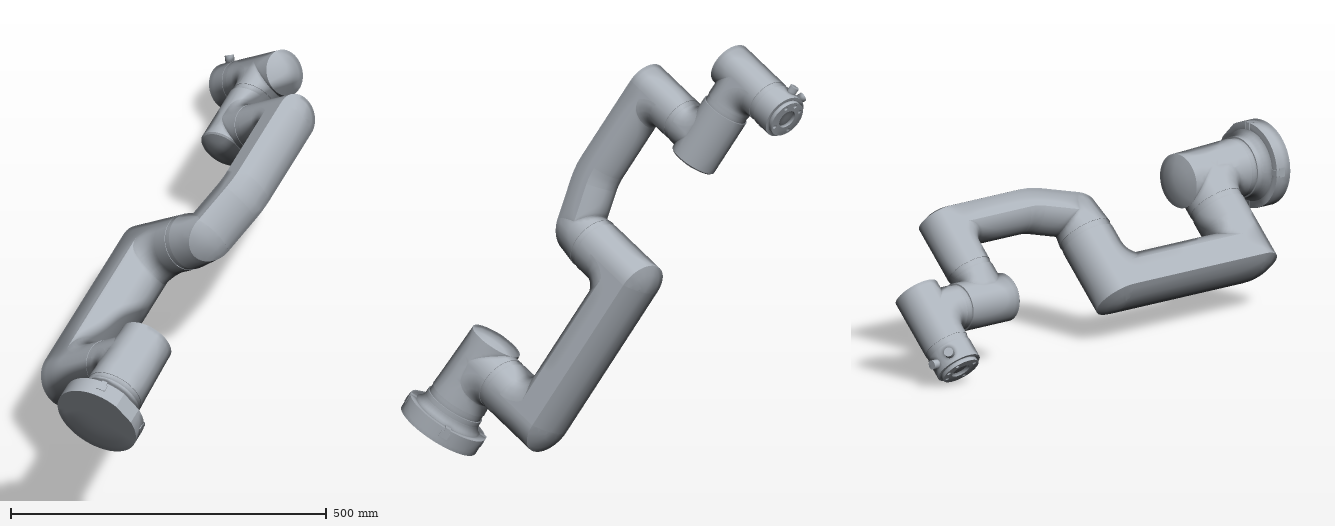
import cadquery as cq
import math

ARM_TURN = 135

SHOULDER_HEIGHT = 130.0
UPPER_ARM_LENGTH = 275.5
FOREARM_LENGTH = 254.0
WRIST_LENGTH = 122.0
WRIST_REACH = 129.0
ELBOW_HEIGHT = SHOULDER_HEIGHT + UPPER_ARM_LENGTH
WRIST_HEIGHT = ELBOW_HEIGHT + FOREARM_LENGTH
TOOL_HEIGHT = WRIST_HEIGHT + WRIST_LENGTH
TOTAL_HEIGHT = 830

ARM_RADIUS = 45.0
WRIST_RADIUS = 37.0
NECK_INSET = 1.0
NECK_LENGTH = 11.0
DOME_RATIO = 0.18
OUTER_CROWN_ANGLE = 30
INNER_CROWN_ANGLE = 60

FLANGE_RADIUS = 70.0
FLANGE_HEIGHT = 28.0
FLANGE_FLAT = 67.0
FLARE_FOOT_RADIUS = 58.0
FLARE_TOP_RADIUS = 50.0
FLARE_TOP = 42.0
FLARE_MIDDLE = (52.0, 34.0)
BASE_TOP = 51.0
LUG_COUNT = 4
LUG_START_ANGLE = 45
LUG_WIDTH = 15.0
LUG_NECK_WIDTH = 9.0
LUG_BOTTOM = 12.5
LUG_SHOULDER = 22.0
LUG_TOP = 30.0
LUG_RISE = 1.0

SHOULDER_FOOT_RADIUS = 48.0
SHOULDER_TOP_RADIUS = 44.0
SHOULDER_BLEND = 6.0
SHOULDER_REACH = 54.0

UPPER_ARM_INNER = 135.0
UPPER_ARM_OUTER = 178.5
UPPER_ARM_BLEND = 17.0

FOREARM_OUTER = -31.0
FOREARM_INNER = 2.5
FOREARM_REACH = 69.0
FOREARM_BLEND = 12.0
BEND_ANGLE = 18
BEND_START = 511.0
BEND_RADIUS = 124.5

WRIST_BODY_RADIUS = 39.0
WRIST_BODY_TOP = 721.0
WRIST_BOTTOM = 622.0
WRIST_BLEND = 8.0
CAP_CHAMFER = 2.5

TOOL_BACK = 87.0
TOOL_JOINT = 188.0
TOOL_SHOULDER = 231.5
TOOL_FACE = 238.0
TOOL_DISC_RADIUS = 31.5
TOOL_BORE_RADIUS = 16.0
TOOL_RECESS_DEPTH = 6.0
BOLT_CIRCLE_RADIUS = 25.0
BOLT_HOLE_RADIUS = 3.0
HOLE_ANGLES = (-135, -45, 0, 45, 135)
PLUG_REACH = 217.0
PLUG_RADIUS = 7.5
PLUG_ANGLES = (0, -45)
PAD_REACH = 203.0
PAD_RADIUS = 5.0
PAD_RISE = 2.0


def turned_on_x(points, height):
    """Solid of revolution about the reach axis at a height; points are (reach, radius)."""
    profile = cq.Workplane("XY").polyline(points).close()
    return profile.revolve(360, (0, 0, 0), (1, 0, 0)).translate((0, height, 0))


def tube_on_x(start, end, radius, height):
    """Round tube along the reach axis."""
    return turned_on_x([(start, 0), (start, radius), (end, radius), (end, 0)], height)


def tube_on_y(bottom, top, radius, reach):
    """Round tube along the height axis."""
    return cq.Workplane("XZ", origin=(reach, bottom, 0)).circle(radius).extrude(bottom - top)


def dome(radius, rise):
    """Spherical cap standing on the XZ plane and rising along +Y."""
    sphere_radius = (radius**2 + rise**2) / (2 * rise)
    half_angle = math.asin(radius / sphere_radius) / 2
    middle = (
        sphere_radius * math.sin(half_angle),
        rise - sphere_radius * (1 - math.cos(half_angle)),
    )
    profile = cq.Workplane("XY").moveTo(0, 0).lineTo(radius, 0).threePointArc(middle, (0, rise)).close()
    return profile.revolve(360, (0, 0, 0), (0, 1, 0))


def crown_rise(radius, half_angle):
    """Rise of an arc that spans two radii with the given half angle."""
    return radius * math.tan(math.radians(half_angle / 2))


def end_cap(radius, reach, height, side, rise):
    """Spherical cap on the end of a tube along the reach axis, bulging to the given side."""
    return dome(radius, rise).rotate((0, 0, 0), (0, 0, 1), -90 * side).translate((reach, height, 0))


def inner_bend(wall, height, radius, blend, tube_side, rise_side, angle=90):
    """Concave bend filling the corner between a tube along the reach axis and an upright part.

    The bend is half-round inside and flat on both sides out to the tube axis. The tube lies
    on tube_side of the wall and the upright part leaves it toward rise_side.
    """
    size = radius + blend
    bend = (
        cq.Workplane("YZ", origin=(-blend, 0, 0))
        .moveTo(-radius, -radius)
        .lineTo(0, -radius)
        .threePointArc((radius, 0), (0, radius))
        .lineTo(-radius, radius)
        .close()
        .revolve(angle, (size, -8, 0), (size, 8, 0))
    )
    corner = cq.Workplane("XY").box(size, size, 2 * radius)
    bend = bend.intersect(corner.translate((size / 2 - blend, size / 2, 0)))
    if tube_side > 0:
        bend = bend.mirror("YZ")
    if rise_side < 0:
        bend = bend.mirror("XZ")
    return bend.translate((wall, height, 0))


def beam_section(inner, outer, radius, height):
    """Beam cross-section at a height: two flat sides closed by a shallow and a deep crown."""
    away = math.copysign(1, outer - inner)
    outer_apex = outer + away * crown_rise(radius, OUTER_CROWN_ANGLE)
    inner_apex = inner - away * crown_rise(radius, INNER_CROWN_ANGLE)
    return (
        cq.Workplane("XZ", origin=(0, height, 0))
        .moveTo(inner, -radius)
        .lineTo(outer, -radius)
        .threePointArc((outer_apex, 0), (outer, radius))
        .lineTo(inner, radius)
        .threePointArc((inner_apex, 0), (inner, -radius))
        .close()
    )


def make_base():
    flange = tube_on_y(0, FLANGE_HEIGHT, FLANGE_RADIUS, 0)
    flat_cut = cq.Workplane("XY").box(FLANGE_RADIUS, TOTAL_HEIGHT, 2 * FLANGE_RADIUS)
    flange = flange.cut(flat_cut.translate((-FLANGE_FLAT - FLANGE_RADIUS / 2, 0, 0)))
    collar = (
        cq.Workplane("XY")
        .lineTo(FLARE_FOOT_RADIUS, 0)
        .lineTo(FLARE_FOOT_RADIUS, FLANGE_HEIGHT)
        .threePointArc(FLARE_MIDDLE, (FLARE_TOP_RADIUS, FLARE_TOP))
        .lineTo(FLARE_TOP_RADIUS, BASE_TOP)
        .lineTo(0, BASE_TOP)
        .close()
        .revolve(360, (0, 0, 0), (0, 1, 0))
    )
    base = flange.union(collar)
    lug_depth = FLANGE_RADIUS + LUG_RISE - FLARE_FOOT_RADIUS
    lug = (
        cq.Workplane("XY", origin=(0, 0, FLARE_FOOT_RADIUS))
        .moveTo(-LUG_WIDTH / 2, LUG_BOTTOM)
        .lineTo(LUG_WIDTH / 2, LUG_BOTTOM)
        .lineTo(LUG_WIDTH / 2, LUG_SHOULDER)
        .lineTo(LUG_NECK_WIDTH / 2, LUG_SHOULDER)
        .lineTo(LUG_NECK_WIDTH / 2, LUG_TOP)
        .lineTo(-LUG_NECK_WIDTH / 2, LUG_TOP)
        .lineTo(-LUG_NECK_WIDTH / 2, LUG_SHOULDER)
        .lineTo(-LUG_WIDTH / 2, LUG_SHOULDER)
        .close()
        .extrude(lug_depth)
    )
    for i in range(LUG_COUNT):
        base = base.union(lug.rotate((0, 0, 0), (0, 1, 0), LUG_START_ANGLE + i * 360 / LUG_COUNT))
    return base


def make_shoulder():
    top = SHOULDER_HEIGHT + ARM_RADIUS
    neck_top = BASE_TOP + NECK_LENGTH
    tower = (
        cq.Workplane("XZ", origin=(0, neck_top, 0))
        .circle(SHOULDER_FOOT_RADIUS)
        .workplane(offset=neck_top - top)
        .circle(SHOULDER_TOP_RADIUS)
        .loft()
    )
    arm_tube = tube_on_x(0, SHOULDER_REACH, ARM_RADIUS, SHOULDER_HEIGHT)
    taper = (SHOULDER_FOOT_RADIUS - SHOULDER_TOP_RADIUS) / (top - neck_top)
    wall = SHOULDER_TOP_RADIUS + taper * 2 * ARM_RADIUS
    bend = inner_bend(wall, SHOULDER_HEIGHT, ARM_RADIUS, SHOULDER_BLEND, 1, -1)
    neck = tube_on_y(BASE_TOP, neck_top, SHOULDER_FOOT_RADIUS - NECK_INSET, 0)
    cap = dome(SHOULDER_TOP_RADIUS, DOME_RATIO * SHOULDER_TOP_RADIUS).translate((0, top, 0))
    return tower.union(arm_tube).union(bend).union(neck).union(cap)


def make_upper_arm():
    joint = SHOULDER_REACH + NECK_LENGTH
    inner_apex = UPPER_ARM_INNER - crown_rise(ARM_RADIUS, INNER_CROWN_ANGLE)
    cap_rise = crown_rise(ARM_RADIUS, OUTER_CROWN_ANGLE)
    section = beam_section(UPPER_ARM_INNER, UPPER_ARM_OUTER, ARM_RADIUS, SHOULDER_HEIGHT)
    arm = section.extrude(-UPPER_ARM_LENGTH)
    for height, rise_side in ((SHOULDER_HEIGHT, 1), (ELBOW_HEIGHT, -1)):
        arm = arm.union(tube_on_x(joint, UPPER_ARM_OUTER, ARM_RADIUS, height))
        arm = arm.union(inner_bend(inner_apex, height, ARM_RADIUS, UPPER_ARM_BLEND, -1, rise_side))
        arm = arm.union(end_cap(ARM_RADIUS, UPPER_ARM_OUTER, height, 1, cap_rise))
    neck = tube_on_x(SHOULDER_REACH, joint, ARM_RADIUS - NECK_INSET, SHOULDER_HEIGHT)
    return arm.union(neck)


def make_forearm():
    cap_rise = crown_rise(WRIST_RADIUS, OUTER_CROWN_ANGLE)
    inner_rise = crown_rise(WRIST_RADIUS, INNER_CROWN_ANGLE)
    tilt = math.radians(BEND_ANGLE)

    pivot = (FOREARM_OUTER + BEND_RADIUS, BEND_START, 0)
    pivot_above = (pivot[0], pivot[1], 1)
    beam_size = (FOREARM_INNER, FOREARM_OUTER, WRIST_RADIUS, BEND_START)
    arm = beam_section(*beam_size).extrude(BEND_START - WRIST_HEIGHT)
    curve = beam_section(*beam_size).revolve(BEND_ANGLE, (pivot[0], 0, 0), (pivot[0], 1, 0))
    arm = arm.union(curve)

    leaning = beam_section(*beam_size).extrude(BEND_START - SHOULDER_HEIGHT)
    leaning = leaning.rotate(pivot, pivot_above, BEND_ANGLE)
    below_elbow = cq.Workplane("XY").box(TOTAL_HEIGHT, TOTAL_HEIGHT, TOTAL_HEIGHT)
    below_elbow = below_elbow.translate((0, ELBOW_HEIGHT - TOTAL_HEIGHT / 2, 0))
    leaning = leaning.cut(below_elbow)
    arm = arm.union(leaning)

    arm = arm.union(tube_on_x(FOREARM_OUTER, FOREARM_REACH, WRIST_RADIUS, WRIST_HEIGHT))
    wall = FOREARM_INNER + inner_rise
    arm = arm.union(inner_bend(wall, WRIST_HEIGHT, WRIST_RADIUS, FOREARM_BLEND, 1, -1))
    arm = arm.union(end_cap(WRIST_RADIUS, FOREARM_OUTER, WRIST_HEIGHT, -1, cap_rise))

    joint = SHOULDER_REACH
    drop = pivot[1] - ELBOW_HEIGHT
    outer = pivot[0] - BEND_RADIUS / math.cos(tilt) + drop * math.tan(tilt)
    apex_radius = pivot[0] - FOREARM_INNER - inner_rise
    apex = pivot[0] - apex_radius / math.cos(tilt) + drop * math.tan(tilt)
    taper = [(outer, 0), (outer, WRIST_RADIUS), (joint, ARM_RADIUS), (joint, 0)]
    upper_half = turned_on_x(taper, ELBOW_HEIGHT).cut(below_elbow)
    arm = arm.union(upper_half)

    ball_radius = WRIST_RADIUS / math.sin(math.radians(OUTER_CROWN_ANGLE))
    outer_apex = outer - cap_rise / math.cos(tilt)
    ball_reach = outer_apex + ball_radius * math.cos(tilt)
    ball_height = ELBOW_HEIGHT + ball_radius * math.sin(tilt)
    ball = cq.Workplane("XY").sphere(ball_radius).translate((ball_reach, ball_height, 0))
    long_taper = [(FOREARM_OUTER, 0), (FOREARM_OUTER, WRIST_RADIUS)] + taper[1:]
    lower_half = turned_on_x(long_taper, ELBOW_HEIGHT).intersect(below_elbow)
    lower_half = lower_half.intersect(ball)
    arm = arm.union(lower_half)

    bend_height = WRIST_RADIUS + FOREARM_BLEND
    wall = apex + (FOREARM_BLEND - bend_height * math.sin(tilt)) / math.cos(tilt) - FOREARM_BLEND
    bend = inner_bend(wall, ELBOW_HEIGHT, WRIST_RADIUS, FOREARM_BLEND, 1, 1, 90 - BEND_ANGLE)
    arm = arm.union(bend)

    neck = tube_on_x(joint, joint + NECK_LENGTH, ARM_RADIUS - NECK_INSET, ELBOW_HEIGHT)
    return arm.union(neck)


def make_wrist():
    neck_end = FOREARM_REACH + NECK_LENGTH
    cap_radius = WRIST_BODY_RADIUS - CAP_CHAMFER
    body = tube_on_y(WRIST_BOTTOM, WRIST_BODY_TOP, WRIST_BODY_RADIUS, WRIST_REACH)
    body = body.faces("<Y").chamfer(CAP_CHAMFER)
    cap = dome(cap_radius, DOME_RATIO * cap_radius).mirror("XZ").translate((WRIST_REACH, WRIST_BOTTOM, 0))
    tube = tube_on_x(neck_end, WRIST_REACH, WRIST_RADIUS, WRIST_HEIGHT)
    wall = WRIST_REACH - WRIST_BODY_RADIUS
    bend = inner_bend(wall, WRIST_HEIGHT, WRIST_RADIUS, WRIST_BLEND, -1, 1)
    neck = tube_on_x(FOREARM_REACH, neck_end, WRIST_RADIUS - NECK_INSET, WRIST_HEIGHT)
    return body.union(cap).union(tube).union(bend).union(neck)


def make_tool_head():
    head = tube_on_x(TOOL_BACK, TOOL_JOINT, WRIST_RADIUS, TOOL_HEIGHT)
    head = head.union(end_cap(WRIST_RADIUS, TOOL_BACK, TOOL_HEIGHT, -1, DOME_RATIO * WRIST_RADIUS))
    stem_bottom = WRIST_BODY_TOP + NECK_LENGTH
    head = head.union(tube_on_y(stem_bottom, TOOL_HEIGHT, WRIST_RADIUS, WRIST_REACH))
    head = head.union(tube_on_y(WRIST_BODY_TOP, stem_bottom, WRIST_RADIUS - NECK_INSET, WRIST_REACH))
    wall = WRIST_REACH + WRIST_RADIUS
    head = head.union(inner_bend(wall, TOOL_HEIGHT, WRIST_RADIUS, WRIST_BLEND, 1, -1))

    barrel_start = TOOL_JOINT + NECK_LENGTH
    head = head.union(tube_on_x(TOOL_JOINT, barrel_start, WRIST_RADIUS - NECK_INSET, TOOL_HEIGHT))
    head = head.union(tube_on_x(barrel_start, TOOL_SHOULDER, WRIST_RADIUS, TOOL_HEIGHT))
    head = head.union(tube_on_x(TOOL_SHOULDER, TOOL_FACE, TOOL_DISC_RADIUS, TOOL_HEIGHT))

    plug_length = TOTAL_HEIGHT - TOOL_HEIGHT
    plug = tube_on_y(0, plug_length, PLUG_RADIUS, PLUG_REACH)
    for angle in PLUG_ANGLES:
        head = head.union(plug.rotate((0, 0, 0), (1, 0, 0), angle).translate((0, TOOL_HEIGHT, 0)))
    pad_length = WRIST_RADIUS + PAD_RISE
    head = head.union(tube_on_y(TOOL_HEIGHT - pad_length, TOOL_HEIGHT, PAD_RADIUS, PAD_REACH))

    bore_bottom = TOOL_FACE - TOOL_RECESS_DEPTH
    head = head.cut(tube_on_x(bore_bottom, TOOL_FACE, TOOL_BORE_RADIUS, TOOL_HEIGHT))
    hole = tube_on_x(bore_bottom, TOOL_FACE, BOLT_HOLE_RADIUS, TOOL_HEIGHT + BOLT_CIRCLE_RADIUS)
    for angle in HOLE_ANGLES:
        head = head.cut(hole.rotate((0, TOOL_HEIGHT, 0), (1, TOOL_HEIGHT, 0), angle))
    return head


def posed(body):
    """Solid of a body turned into the final pose."""
    return body.rotate((0, 0, 0), (0, 1, 0), ARM_TURN).solids().val()


base = make_base()
shoulder = make_shoulder()
upper_arm = make_upper_arm()
forearm = make_forearm()
wrist = make_wrist()
tool_head = make_tool_head()

bodies = [base, shoulder, upper_arm, forearm, wrist, tool_head]
result = cq.Compound.makeCompound([posed(body) for body in bodies])